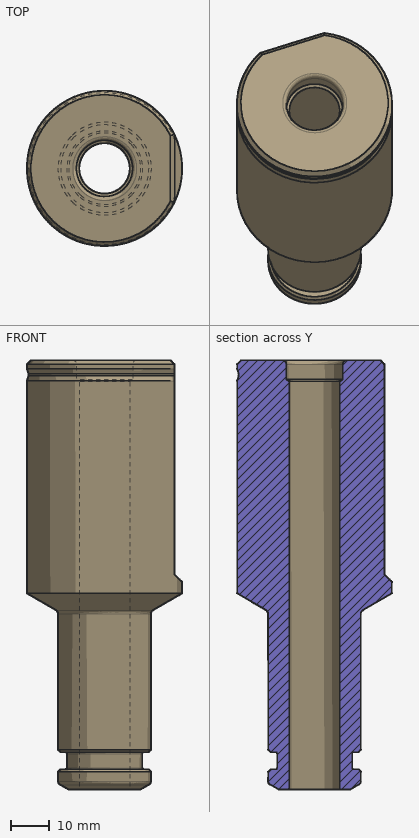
import cadquery as cq
import math

LENGTH = 110.5
BODY_RADIUS = 40.0 / 2
STEM_RADIUS = 24.0 / 2
TAPER_TAN = math.tan(math.radians(30))

BODY_BOTTOM = 50.5
TOP_CHAMFER = 1.05
CONE_BOTTOM = BODY_BOTTOM - (BODY_RADIUS - STEM_RADIUS) * TAPER_TAN
CONE_FILLET = 1.1

RING_GROOVE_Z = 106.7
RING_GROOVE_HALF_WIDTH = 1.5
RING_GROOVE_HALF_FLOOR = 0.2
RING_GROOVE_DEPTH = 0.4

NECK_RADIUS = 19.5 / 2
NECK_BOTTOM = 5.3
NECK_TOP = 9.6
NECK_EDGE_CHAMFER = 0.7
NECK_FILLET = 0.3

FOOT_INSET = 2.8
FOOT_TAPER_HEIGHT = FOOT_INSET * TAPER_TAN
FOOT_FILLET = 1.0

BORE_RADIUS = 12.9 / 2
COUNTERBORE_RADIUS = 14.5 / 2
COUNTERBORE_DEPTH = 5.0
MOUTH_FILLET = 1.0

FLAT_X = 18.0
FLAT_BOTTOM = 55.4


def revolve_outline(points):
    """Revolve a closed outline of (radius, height) points about Z."""
    return cq.Workplane("XZ").polyline(points).close().revolve(360, (0, 0, 0), (0, 1, 0))


def fillet_circle(solid, radius, height, fillet):
    """Round the circular edge of the given radius and height."""
    tolerance = 0.01
    edge = cq.selectors.BoxSelector(
        (-radius - tolerance, -radius - tolerance, height - tolerance),
        (radius + tolerance, radius + tolerance, height + tolerance),
        boundingbox=True,
    )
    return solid.edges(edge).fillet(fillet)


def make_outer_shape():
    shape = revolve_outline([
        (0, 0),
        (STEM_RADIUS - FOOT_INSET, 0),
        (STEM_RADIUS, FOOT_TAPER_HEIGHT),
        (STEM_RADIUS, NECK_BOTTOM - NECK_EDGE_CHAMFER),
        (STEM_RADIUS - NECK_EDGE_CHAMFER, NECK_BOTTOM),
        (NECK_RADIUS, NECK_BOTTOM),
        (NECK_RADIUS, NECK_TOP),
        (STEM_RADIUS - NECK_EDGE_CHAMFER, NECK_TOP),
        (STEM_RADIUS, NECK_TOP + NECK_EDGE_CHAMFER),
        (STEM_RADIUS, CONE_BOTTOM),
        (BODY_RADIUS, BODY_BOTTOM),
        (BODY_RADIUS, RING_GROOVE_Z - RING_GROOVE_HALF_WIDTH),
        (BODY_RADIUS - RING_GROOVE_DEPTH, RING_GROOVE_Z - RING_GROOVE_HALF_FLOOR),
        (BODY_RADIUS - RING_GROOVE_DEPTH, RING_GROOVE_Z + RING_GROOVE_HALF_FLOOR),
        (BODY_RADIUS, RING_GROOVE_Z + RING_GROOVE_HALF_WIDTH),
        (BODY_RADIUS, LENGTH - TOP_CHAMFER),
        (BODY_RADIUS - TOP_CHAMFER, LENGTH),
        (0, LENGTH),
    ])
    shape = fillet_circle(shape, STEM_RADIUS, FOOT_TAPER_HEIGHT, FOOT_FILLET)
    shape = fillet_circle(shape, NECK_RADIUS, NECK_BOTTOM, NECK_FILLET)
    shape = fillet_circle(shape, NECK_RADIUS, NECK_TOP, NECK_FILLET)
    return fillet_circle(shape, STEM_RADIUS, CONE_BOTTOM, CONE_FILLET)


def make_bore():
    step_height = (COUNTERBORE_RADIUS - BORE_RADIUS) * TAPER_TAN
    counterbore_z = LENGTH - COUNTERBORE_DEPTH
    mouth_bottom = LENGTH - MOUTH_FILLET
    mouth_radius = COUNTERBORE_RADIUS + MOUTH_FILLET
    arc_inset = MOUTH_FILLET * math.sqrt(0.5)
    return (
        cq.Workplane("XZ")
        .lineTo(BORE_RADIUS, 0)
        .lineTo(BORE_RADIUS, counterbore_z - step_height)
        .lineTo(COUNTERBORE_RADIUS, counterbore_z)
        .lineTo(COUNTERBORE_RADIUS, mouth_bottom)
        .threePointArc(
            (mouth_radius - arc_inset, mouth_bottom + arc_inset),
            (mouth_radius, LENGTH),
        )
        .lineTo(0, LENGTH)
        .close()
        .revolve(360, (0, 0, 0), (0, 1, 0))
    )


def make_flat_cutter():
    """Material outside the flat, with its top edge chamfered like the rest of the body."""
    run_out = BODY_RADIUS - FLAT_X
    return (
        cq.Workplane("XZ")
        .moveTo(FLAT_X, FLAT_BOTTOM)
        .lineTo(BODY_RADIUS, FLAT_BOTTOM - run_out)
        .lineTo(BODY_RADIUS, LENGTH)
        .lineTo(FLAT_X - TOP_CHAMFER, LENGTH)
        .lineTo(FLAT_X, LENGTH - TOP_CHAMFER)
        .close()
        .extrude(BODY_RADIUS, both=True)
    )


result = make_outer_shape().cut(make_flat_cutter()).cut(make_bore())